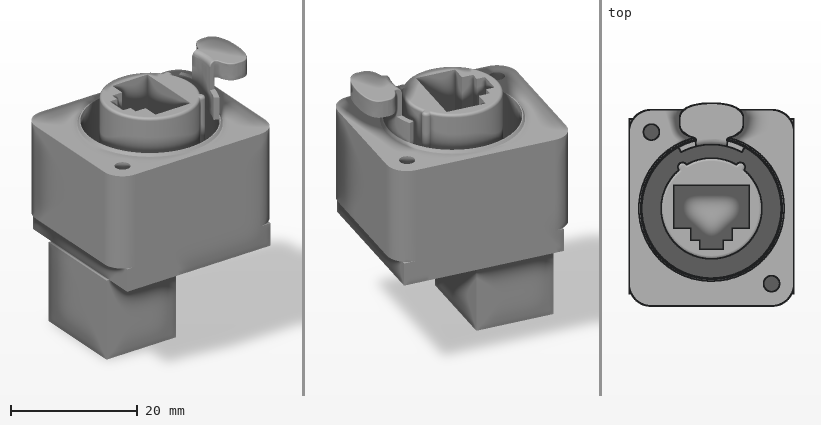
import cadquery as cq
import math


TOTAL_HEIGHT = 43.5
TOTAL_DEPTH = 32.05

WIDTH = 26.0
DEPTH = 31.0
CENTRE_Y = 0.1
BODY_HEIGHT = 16.45
BODY_FRONT = CENTRE_Y - DEPTH / 2
BODY_BACK = CENTRE_Y + DEPTH / 2
CORNER_RADIUS = 3.5
BASE_HEIGHT = 4.0
BASE_FRONT = -13.45
BASE_BACK = 14.15

BLOCK_WIDTH = 16.0
BLOCK_FRONT = -13.9
BLOCK_BACK = -0.55

RING_RADIUS = 11.5
RING_HEIGHT = 0.45
RING_TOP_RADIUS = 11.2
GROOVE_RADIUS = 11.0
GROOVE_DEPTH = 9.0

BOSS_RADIUS = 7.95
BOSS_HEIGHT = 5.0
BOSS_FILLET = 0.5
RIB_RADIUS = 0.75
RIB_ANGLE = 35.0

SOCKET_TOP = 3.65
SOCKET_HALF_WIDTH = 5.95
SOCKET_SHOULDER = -3.1
KEY_HALF_WIDTH = 3.25
KEY_BOTTOM = -5.0
LATCH_HALF_WIDTH = 1.83
LATCH_BOTTOM = -6.45
SOCKET_DEPTH = BOSS_HEIGHT + GROOVE_DEPTH

HOLE_DIAMETER = 2.52
HOLE_X = 9.5
HOLE_Y = 11.95

LEVER_OUTER_RADIUS = GROOVE_RADIUS
LEVER_INNER_RADIUS = 10.1
LEVER_TOP = 8.95
FOOT_TOP = 3.95
FOOT_HALF_ANGLE = 28.4
STEM_WIDTH = 4.9
TAB_THICKNESS = 3.0
TAB_WIDTH = 10.1
TAB_DEPTH = 5.8
TAB_BACK = BODY_FRONT + TOTAL_DEPTH
TAB_FLAT = 0.8
TAB_CROWN_X = 1.05
TAB_EDGE_FILLET = 0.17
NECK_FILLET = 0.52
BEND_FILLET = 0.85

SELECT_MARGIN = 0.2


def box(width, y_front, y_back, z_bottom, z_top):
    """Box centred on X = 0 between the given Y and Z limits."""
    return (
        cq.Workplane("XY", origin=(0, (y_front + y_back) / 2, z_bottom))
        .rect(width, y_back - y_front)
        .extrude(z_top - z_bottom)
    )


def cylinder(radius, z_bottom, z_top):
    """Cylinder on the connector axis."""
    return cq.Workplane("XY", origin=(0, 0, z_bottom)).circle(radius).extrude(z_top - z_bottom)


def make_shell():
    """Rounded body, base and rear plug block."""
    base_bottom = -BODY_HEIGHT - BASE_HEIGHT
    block_bottom = LEVER_TOP - TOTAL_HEIGHT
    body = box(WIDTH, BODY_FRONT, BODY_BACK, -BODY_HEIGHT, 0).edges("|Z").fillet(CORNER_RADIUS)
    base = box(WIDTH, BASE_FRONT, BASE_BACK, base_bottom, -BODY_HEIGHT)
    block = box(BLOCK_WIDTH, BLOCK_FRONT, BLOCK_BACK, block_bottom, base_bottom)
    return body.union(base).union(block)


def make_ring():
    """Raised ring whose outside slopes inward over its full height."""
    return cq.Workplane(cq.Solid.makeCone(RING_RADIUS, RING_TOP_RADIUS, RING_HEIGHT))


def make_boss():
    """Round boss rising from the groove floor, with its ribs and rounded rim."""
    boss = cylinder(BOSS_RADIUS, -GROOVE_DEPTH, BOSS_HEIGHT)
    for angle in (90 - RIB_ANGLE, 90 + RIB_ANGLE):
        x = BOSS_RADIUS * math.cos(math.radians(angle))
        y = BOSS_RADIUS * math.sin(math.radians(angle))
        boss = boss.union(cylinder(RIB_RADIUS, -GROOVE_DEPTH, BOSS_HEIGHT).translate((x, y, 0)))
    return boss.faces(">Z").edges().fillet(BOSS_FILLET)


def make_socket():
    """Cutter for the stepped plug socket."""
    half_outline = [
        (0, SOCKET_TOP),
        (SOCKET_HALF_WIDTH, SOCKET_TOP),
        (SOCKET_HALF_WIDTH, SOCKET_SHOULDER),
        (KEY_HALF_WIDTH, SOCKET_SHOULDER),
        (KEY_HALF_WIDTH, KEY_BOTTOM),
        (LATCH_HALF_WIDTH, KEY_BOTTOM),
        (LATCH_HALF_WIDTH, LATCH_BOTTOM),
        (0, LATCH_BOTTOM),
    ]
    return (
        cq.Workplane("XY", origin=(0, 0, BOSS_HEIGHT))
        .polyline(half_outline)
        .mirrorY()
        .extrude(-SOCKET_DEPTH)
    )


def make_screw_holes():
    """Cutter for the two blind screw holes, as deep as the body above the base."""
    return (
        cq.Workplane("XY", origin=(0, CENTRE_Y, 0))
        .pushPoints([(-HOLE_X, HOLE_Y), (HOLE_X, -HOLE_Y)])
        .circle(HOLE_DIAMETER / 2)
        .extrude(-BODY_HEIGHT)
    )


def make_housing():
    """Shell with its ring, groove, boss, socket and screw holes."""
    groove = cylinder(GROOVE_RADIUS, -GROOVE_DEPTH, RING_HEIGHT)
    housing = make_shell().union(make_ring()).cut(groove).union(make_boss())
    return housing.cut(make_socket()).cut(make_screw_holes())


def make_tab():
    """Oval tab: short straight ends joined front and back by bowed curves."""
    half_width = TAB_WIDTH / 2
    half_depth = TAB_DEPTH / 2
    half_flat = TAB_FLAT / 2
    crown_y = half_flat + (half_depth - half_flat) * 16 / 15
    back_curve = [
        (half_width, half_flat),
        (half_width, crown_y),
        (TAB_CROWN_X, crown_y),
        (-TAB_CROWN_X, crown_y),
        (-half_width, crown_y),
        (-half_width, half_flat),
    ]
    front_curve = [(-x, -y) for x, y in back_curve]
    return (
        cq.Workplane("XY", origin=(0, TAB_BACK - half_depth, LEVER_TOP - TAB_THICKNESS))
        .moveTo(half_width, -half_flat)
        .lineTo(half_width, half_flat)
        .bezier(back_curve)
        .lineTo(-half_width, -half_flat)
        .bezier(front_curve)
        .close()
        .extrude(TAB_THICKNESS)
    )


def make_head(inner_cylinder):
    """Tab and neck, blended at their inside corners and rounded along the top."""
    tab_bottom = LEVER_TOP - TAB_THICKNESS
    tab_middle = TAB_BACK - TAB_DEPTH / 2
    neck = box(STEM_WIDTH, 0, tab_middle, tab_bottom, LEVER_TOP).cut(inner_cylinder)
    head = make_tab().union(neck)
    corner_zone = cq.selectors.BoxSelector(
        (-STEM_WIDTH, LEVER_INNER_RADIUS, tab_bottom + SELECT_MARGIN),
        (STEM_WIDTH, tab_middle - TAB_DEPTH / 4, LEVER_TOP - SELECT_MARGIN),
    )
    head = head.edges(corner_zone).fillet(NECK_FILLET)
    head = head.faces(">Z").edges("<Y").fillet(BEND_FILLET)
    rim_zone = cq.selectors.BoxSelector(
        (-TAB_WIDTH, LEVER_OUTER_RADIUS + SELECT_MARGIN, LEVER_TOP - SELECT_MARGIN),
        (TAB_WIDTH, TAB_BACK + SELECT_MARGIN, LEVER_TOP + SELECT_MARGIN),
    )
    return head.faces(">Z").edges(rim_zone).fillet(TAB_EDGE_FILLET)


def make_lever():
    """Release lever: head on a curved stem with a wider foot, both following the groove wall."""
    inner_cylinder = cylinder(LEVER_INNER_RADIUS, 0, LEVER_TOP)
    sleeve = cylinder(LEVER_OUTER_RADIUS, 0, LEVER_TOP - BEND_FILLET).cut(inner_cylinder)
    stem = sleeve.intersect(box(STEM_WIDTH, 0, LEVER_OUTER_RADIUS, 0, LEVER_TOP))
    reach = 2 * LEVER_OUTER_RADIUS
    reach_x = reach * math.sin(math.radians(FOOT_HALF_ANGLE))
    reach_y = reach * math.cos(math.radians(FOOT_HALF_ANGLE))
    foot_sector = (
        cq.Workplane("XY")
        .polyline([(0, 0), (reach_x, reach_y), (-reach_x, reach_y)])
        .close()
        .extrude(FOOT_TOP)
    )
    foot = sleeve.intersect(foot_sector)
    return make_head(inner_cylinder).union(stem).union(foot)


housing = make_housing()
lever = make_lever()

result = cq.Compound.makeCompound([housing.val(), lever.val()])